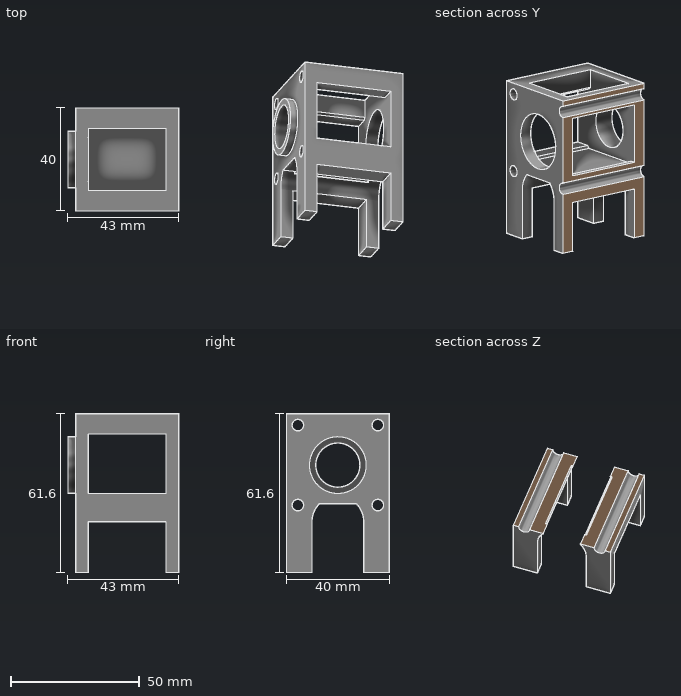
import cadquery as cq

height = 61.65
width = 40.0
frame_length = 40.0
plate_thickness = 5.0
gap = frame_length - 2 * plate_thickness

axis_z = height - width / 2
hub_diameter = 22.0
hub_projection = 2.95
bore_diameter = 17.0
far_hole_diameter = 22.0

screw_diameter = 4.4
screw_spacing = 31.0

rail_width = 8.0
top_rail_height = 8.0
lower_rail_height = 11.0
lower_rail_top = 30.65

clearance_diameter = 35.2

leg_opening_width = 20.0
leg_opening_top = 26.65
arch_radius = leg_opening_width / 2
arch_center_z = lower_rail_top - lower_rail_height

floor_thickness = 3.0
floor_top = leg_opening_top + floor_thickness


def block(x_start, x_length, y_width, z_bottom, z_top, y_center=0.0):
    """Box given by its X start, Y center and Z limits."""
    solid = cq.Workplane("XY").box(x_length, y_width, z_top - z_bottom, centered=(False, True, False))
    return solid.translate((x_start, y_center, z_bottom))


def cylinder_x(x_start, length, diameter, y=0.0, z=axis_z):
    """Cylinder running along X."""
    return cq.Workplane("YZ", origin=(x_start, y, z)).circle(diameter / 2).extrude(length)


def leg_opening():
    """Round-headed slot through both plates with a flat top."""
    slot = block(0, frame_length, leg_opening_width, 0, arch_center_z)
    arch = cylinder_x(0, frame_length, 2 * arch_radius, z=arch_center_z)
    return slot.union(arch).intersect(block(0, frame_length, width, 0, leg_opening_top))


far_plate_x = frame_length - plate_thickness

body = block(0, plate_thickness, width, 0, height)
body = body.union(block(far_plate_x, plate_thickness, width, 0, height))
body = body.union(cylinder_x(-hub_projection, hub_projection + plate_thickness, hub_diameter))
body = body.cut(leg_opening())

rails = cq.Workplane("XY")
for side in (-1, 1):
    top_rail_y = side * (width - rail_width) / 2
    rails = rails.union(block(plate_thickness, gap, rail_width, height - top_rail_height, height, top_rail_y))
lower_block = block(plate_thickness, gap, width, lower_rail_top - lower_rail_height, lower_rail_top)
rails = rails.union(lower_block)
rails = rails.cut(cylinder_x(plate_thickness, gap, clearance_diameter)).cut(leg_opening())
body = body.union(rails)

body = body.union(block(plate_thickness, gap, width, leg_opening_top, floor_top))

body = body.cut(cylinder_x(-hub_projection, hub_projection + plate_thickness, bore_diameter))
body = body.cut(cylinder_x(far_plate_x, plate_thickness, far_hole_diameter))

for y_side in (-1, 1):
    for z_side in (-1, 1):
        screw_y = y_side * screw_spacing / 2
        screw_z = axis_z + z_side * screw_spacing / 2
        body = body.cut(cylinder_x(0, frame_length, screw_diameter, screw_y, screw_z))

result = body